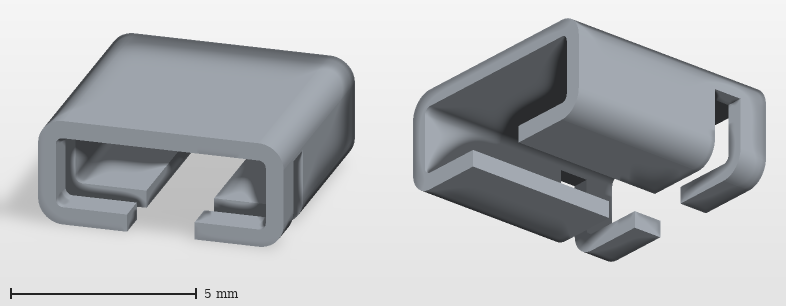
import cadquery as cq

width = 6.9
depth = 6.6
height = 3.0

thickness = 0.5
inner_bend_radius = 0.2
outer_bend_radius = inner_bend_radius + thickness

lip_gap = 1.9

finger_width = 0.9
slot_width = 0.9
slot_height = 2.2


def rounded_bar(bar_width, bar_height, corner_radius):
    """Bar along Y, centred on the origin, with its four long edges rounded."""
    return cq.Workplane("XY").box(bar_width, depth, bar_height).edges("|Y").fillet(corner_radius)


def folded_channel():
    """Closed rectangular sleeve with rounded bends, split open along its underside."""
    outside = rounded_bar(width, height, outer_bend_radius)
    inside = rounded_bar(width - 2 * thickness, height - 2 * thickness, inner_bend_radius)
    gap = (
        cq.Workplane("XY")
        .box(lip_gap, depth, thickness)
        .translate((0, 0, (thickness - height) / 2))
    )
    return outside.cut(inside).cut(gap)


def finger_slot():
    """Cutter through both side walls and lips, open at the bottom."""
    slot_center_y = -depth / 2 + finger_width + slot_width / 2
    slot_center_z = (slot_height - height) / 2
    return (
        cq.Workplane("XY")
        .box(width, slot_width, slot_height)
        .translate((0, slot_center_y, slot_center_z))
    )


result = folded_channel().cut(finger_slot())